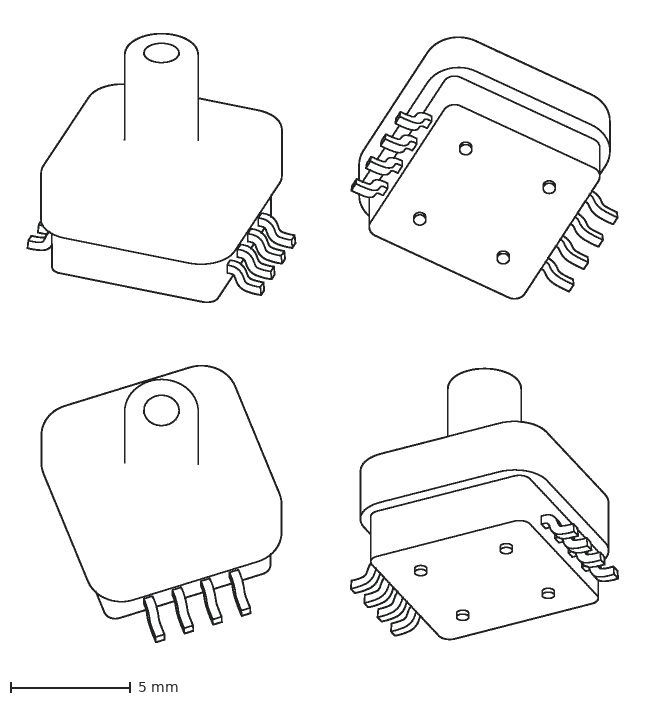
import cadquery as cq
import math

lead_span = 10.39
total_height = 9.65

base_side = 7.36
base_corner_radius = 0.5
base_bottom = 0.19
cap_side = 8.51
cap_corner_radius = 1.5
cap_bottom = 2.4
cap_top = 4.82
edge_round = 0.09

port_diameter = 3.08
port_flare_radius = 0.5
bore_diameter = 1.46
bore_depth = total_height - cap_top

peg_diameter = 0.51
peg_spacing = 3.98
peg_overlap = 0.1

leads_per_side = 4
lead_pitch = 1.27
lead_width = 0.4
lead_thickness = 0.4
lead_exit_height = 0.98
lead_embed = 0.1
shoulder_radius = 0.38
ankle_radius = 0.42
foot_radius = 2.02
shank_angle = math.radians(70)
heel_angle = math.radians(12)
toe_angle = math.radians(5)


def rounded_block(side, corner_radius, bottom, top):
    """Square block with rounded vertical edges, between two heights."""
    return (
        cq.Workplane("XY", origin=(0, 0, bottom))
        .rect(side, side)
        .extrude(top - bottom)
        .edges("|Z")
        .fillet(corner_radius)
    )


def make_housing():
    base = rounded_block(base_side, base_corner_radius, base_bottom, cap_bottom)
    cap = rounded_block(cap_side, cap_corner_radius, cap_bottom, cap_top)
    return base.union(cap.faces(">Z").edges().fillet(edge_round))


def make_port():
    """Tube revolved about Z, flared where it meets the cap and rounded at its rim."""
    radius = port_diameter / 2
    flare_top = cap_top + port_flare_radius
    return (
        cq.Workplane("XZ")
        .moveTo(0, cap_bottom)
        .lineTo(radius + port_flare_radius, cap_bottom)
        .lineTo(radius + port_flare_radius, cap_top)
        .radiusArc((radius, flare_top), port_flare_radius)
        .lineTo(radius, total_height - edge_round)
        .radiusArc((radius - edge_round, total_height), -edge_round)
        .lineTo(0, total_height)
        .close()
        .revolve(360, (0, 0), (0, 1))
    )


def make_bore():
    return (
        cq.Workplane("XY", origin=(0, 0, total_height))
        .circle(bore_diameter / 2)
        .extrude(-bore_depth)
    )


def make_pegs():
    return (
        cq.Workplane("XY")
        .rect(peg_spacing, peg_spacing, forConstruction=True)
        .vertices()
        .circle(peg_diameter / 2)
        .extrude(base_bottom + peg_overlap)
    )


def make_lead():
    """One lead on the +X side: a rectangular strip swept along its bent centre line."""
    half_thickness = lead_thickness / 2

    toe_x = lead_span / 2 - half_thickness * math.sin(toe_angle)
    foot_center_x = toe_x - foot_radius * math.sin(toe_angle)
    foot_center_z = half_thickness + foot_radius
    toe = (toe_x, foot_center_z - foot_radius * math.cos(toe_angle))
    heel = (
        foot_center_x - foot_radius * math.sin(heel_angle),
        foot_center_z - foot_radius * math.cos(heel_angle),
    )
    shank_bottom = (
        heel[0] - ankle_radius * (math.sin(shank_angle) - math.sin(heel_angle)),
        heel[1] + ankle_radius * (math.cos(heel_angle) - math.cos(shank_angle)),
    )
    shank_top_z = lead_exit_height - shoulder_radius * (1 - math.cos(shank_angle))
    shank_run = (shank_top_z - shank_bottom[1]) / math.tan(shank_angle)
    shank_top = (shank_bottom[0] - shank_run, shank_top_z)
    shoulder = (shank_top[0] - shoulder_radius * math.sin(shank_angle), lead_exit_height)
    root_x = base_side / 2 - lead_embed

    center_line = (
        cq.Workplane("XZ")
        .moveTo(root_x, lead_exit_height)
        .lineTo(*shoulder)
        .tangentArcPoint(shank_top, relative=False)
        .lineTo(*shank_bottom)
        .tangentArcPoint(heel, relative=False)
        .tangentArcPoint(toe, relative=False)
    )
    return (
        cq.Workplane("YZ", origin=(root_x, 0, lead_exit_height))
        .rect(lead_width, lead_thickness)
        .sweep(center_line)
    )


result = make_housing().union(make_port()).cut(make_bore()).union(make_pegs())

right_lead = make_lead()
left_lead = right_lead.mirror("YZ")
for index in range(leads_per_side):
    lead_y = (index - (leads_per_side - 1) / 2) * lead_pitch
    for lead in (right_lead, left_lead):
        result = result.union(lead.translate((0, lead_y, 0)))